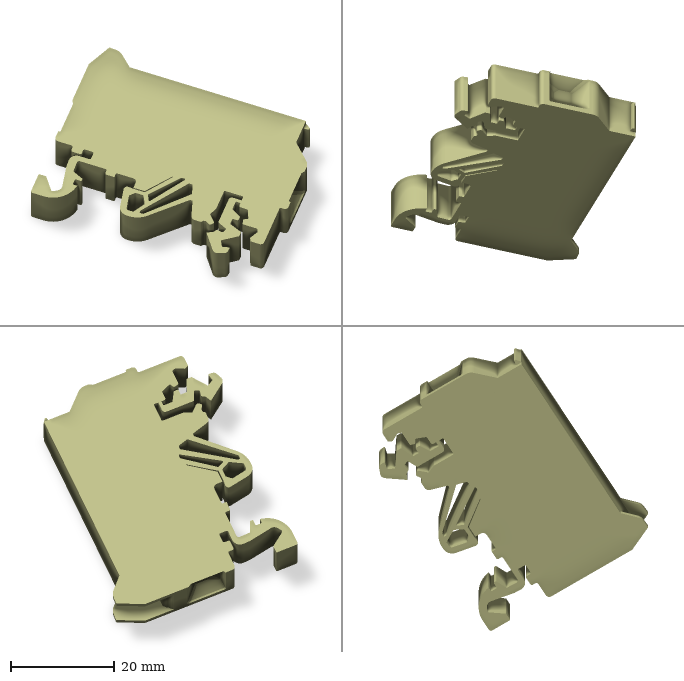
import cadquery as cq
import math


length = 48.0
thickness = 8.1
wall = 1.0
corner_round = 2.1
bend_round = 1.6
small_round = 0.2
margin = 0.5

top_edge = 35.35
fin_top = 38.35
left_underside = 14.05
right_underside = 14.35
rail_face = 11.15
arm_top = 12.25

notch_end = 8.2
fin_root = 7.7
right_shoulder = 44.05
leg_side = 46.5
post_side = 35.05
latch_slot_end = 39.0
clip_side = 18.3

clip_gap = 0.25
clip_top = 8.65
clip_gap_bend = 20.75
clip_gap_tip = (24.5, 14.0)

cavity_wall = 3.45
cavity_floor = 27.15
cavity_ledge = 28.9

funnel_depth = 2.45
funnel_entry_depth = 0.4
funnel_lip_depth = 1.8
funnel_lip_y = 16.6
funnel_mouth_y = (16.2, 24.4)
funnel_mouth_z = (wall, 8.15)
funnel_floor_y = (18.0, 21.6)
funnel_floor_z = (2.9, 6.05)


def trace(corners):
    """Closed wire through (x, y, radius) corners, each rounded by its radius."""
    path = None
    for i, (x, y, radius) in enumerate(corners):
        before = corners[i - 1]
        after = corners[(i + 1) % len(corners)]
        to_before = cq.Vector(before[0] - x, before[1] - y).normalized()
        to_after = cq.Vector(after[0] - x, after[1] - y).normalized()
        corner = cq.Vector(x, y)
        half_angle = to_before.getAngle(to_after) / 2
        setback = radius / math.tan(half_angle)
        start = corner + to_before * setback
        if path is None:
            path = cq.Workplane("XY").moveTo(start.x, start.y)
        else:
            path = path.lineTo(start.x, start.y)
        if radius > 0:
            bisector = (to_before + to_after).normalized()
            middle = corner + bisector * (radius / math.sin(half_angle) - radius)
            end = corner + to_after * setback
            path = path.threePointArc((middle.x, middle.y), (end.x, end.y))
    return path.close()


def prism(corners, z_from=0.0, z_to=thickness):
    return trace(corners).extrude(z_to - z_from).translate((0, 0, z_from))


def left_underside_key():
    key_left, key_right, key_tip, key_round = 3.95, 6.1, 12.7, 0.35
    return [
        (0, left_underside, 0.75),
        (key_left, left_underside, key_round),
        (key_left, key_tip, key_round),
        (key_right, key_tip, key_round),
        (key_right, left_underside, key_round),
        (notch_end, left_underside, 0.3),
        (notch_end, arm_top, 0.3),
    ]


def rail_hook():
    heel = 0.9
    nose = 5.5
    return [
        (4.2, arm_top, bend_round),
        (4.35, 9.15, 0),
        (5.4, 3.65, 1.15),
        (3.8, 2.5, 0.45),
        (1.55, nose, small_round),
        (0, nose, small_round),
        (0, heel, 0.5),
        (6.8, heel, 5.3),
        (7.95, nose, 0),
        (7.0, nose, small_round),
        (7.0, 6.8, small_round),
        (8.3, 6.8, small_round),
        (8.35, 7.4, small_round),
        (6.05, 8.45, 0),
        (5.95, rail_face, 0.5),
    ]


def rail_seat():
    key_left, key_right, key_tip, key_round, seat = 12.0, 13.95, 9.95, 0.3, 10.95
    return [
        (key_left, rail_face, key_round),
        (key_left, key_tip, key_round),
        (key_right, key_tip, 0),
        (key_right, seat, small_round),
        (clip_side, seat, 0.8),
        (clip_side, clip_top, 0),
    ]


def spring_clip():
    return [
        (16.45, 8.85, 0.65),
        (17.7, 2.25, 2.05),
        (21.8, 2.25, 4.8),
        (29.55, 10.0, small_round),
        (30.1, 10.0, small_round),
    ]


def centre_post():
    foot = 5.85
    return [
        (31.35, foot, 0.95),
        (33.35, foot, small_round),
        (33.75, 6.35, small_round),
        (34.25, 6.35, small_round),
        (35.2, 5.7, 0.45),
        (35.9, 6.6, 0.45),
        (34.35, 8.2, 0),
        (post_side, 9.8, 0),
        (post_side, right_underside, small_round),
    ]


def latch_foot():
    tip = -0.25
    return [
        (latch_slot_end, right_underside, small_round),
        (latch_slot_end, 13.4, 0),
        (36.55, 13.4, 0.65),
        (36.55, 6.95, 0),
        (38.55, 6.0, small_round),
        (38.15, 5.0, small_round),
        (36.9, 5.25, small_round),
        (36.45, 4.45, small_round),
        (35.25, 3.9, 0),
        (38.3, tip, 1.05),
        (40.6, 0.7, 0.75),
        (40.75, 2.15, small_round),
        (39.2, 1.8, small_round),
        (38.5, 3.1, 0),
        (41.45, 5.3, small_round),
        (41.45, 6.35, small_round),
        (38.85, 7.4, 0),
        (38.85, 8.7, 0),
        (40.05, 8.7, small_round),
        (40.05, 9.65, small_round),
        (38.0, 10.8, 0),
        (38.0, 12.7, 0),
        (latch_slot_end, 12.7, 0),
    ]


def right_leg():
    foot = 4.9
    return [
        (latch_slot_end, 11.75, 0.4),
        (40.85, 11.75, small_round),
        (41.7, 9.75, small_round),
        (40.8, 9.25, small_round),
        (41.1, 8.15, small_round),
        (44.15, 8.15, small_round),
        (44.45, 7.4, small_round),
        (43.6, 5.65, small_round),
        (43.95, foot, small_round),
        (leg_side, foot, 0.7),
        (leg_side, right_underside, small_round),
        (length, right_underside, 0.7),
    ]


def upper_edge():
    return [
        (length, 25.9, corner_round),
        (right_shoulder, 29.9, 0),
        (right_shoulder, top_edge, 0),
        (fin_root, top_edge, 0),
        (4.6, 38.2, corner_round),
        (2.35, fin_top, 0.3),
        (0, 33.25, 0),
    ]


outline = (
    left_underside_key()
    + rail_hook()
    + rail_seat()
    + spring_clip()
    + centre_post()
    + latch_foot()
    + right_leg()
    + upper_edge()
)


def clip_openings():
    eye = [
        (19.1, 7.85, small_round),
        (20.75, 7.85, small_round),
        (21.7, 6.05, small_round),
        (20.25, 3.55, small_round),
        (18.8, 3.55, 0.6),
        (18.15, 6.85, small_round),
    ]
    upper_slot = [
        (21.5, 8.35, small_round),
        (22.2, 6.8, small_round),
        (27.15, 14.35, small_round),
        (26.2, 14.35, small_round),
    ]
    lower_slot = [
        (21.45, 3.75, small_round),
        (22.2, 3.75, small_round),
        (29.4, 11.4, small_round),
        (28.8, 13.6, 0.4),
        (28.05, 13.6, 0.4),
        (21.45, 4.25, small_round),
    ]
    tip_x, tip_y = clip_gap_tip
    gap = [
        (clip_side - small_round, clip_top, 0),
        (clip_gap_bend, clip_top, 0),
        (tip_x, tip_y - clip_gap, 0),
        (tip_x, tip_y, 0),
        (clip_gap_bend - clip_gap / 2, clip_top + clip_gap, 0),
        (clip_side - small_round, clip_top + clip_gap, 0),
    ]
    return [prism(corners) for corners in (eye, upper_slot, lower_slot, gap)]


def marker_cavity():
    corners = [
        (-margin, cavity_floor, 0),
        (0, cavity_floor, 0),
        (0.25, 27.5, 0),
        (0.85, 28.1, 1.0),
        (0.95, 28.3, 0),
        (1.6, cavity_ledge, 0),
        (cavity_wall, cavity_ledge, 0),
        (cavity_wall, 32.45, 0.7),
        (4.8, top_edge, 0),
        (fin_root, top_edge, 0),
        (fin_root, fin_top + margin, 0),
        (-margin, fin_top + margin, 0),
    ]
    return prism(corners, wall, thickness - wall)


def bevelled_rectangle(y_span, z_span, low_bevel, high_bevel):
    y_low, y_high = y_span
    z_low, z_high = z_span
    return [
        (y_low + low_bevel, z_low),
        (y_high - high_bevel, z_low),
        (y_high, z_low + high_bevel),
        (y_high, z_high - high_bevel),
        (y_high - high_bevel, z_high),
        (y_low + low_bevel, z_high),
        (y_low, z_high - low_bevel),
        (y_low, z_low + low_bevel),
    ]


def between(start, end, fraction):
    return start + (end - start) * fraction


def wire_funnel():
    mouth_low_y, mouth_high_y = funnel_mouth_y
    floor_high_y = funnel_floor_y[1]
    entry_fraction = funnel_entry_depth / funnel_depth
    lip_fraction = funnel_lip_depth / funnel_depth
    entry_y = (
        between(mouth_low_y, funnel_lip_y, funnel_entry_depth / funnel_lip_depth),
        between(mouth_high_y, floor_high_y, entry_fraction),
    )
    lip_y = (funnel_lip_y, between(mouth_high_y, floor_high_y, lip_fraction))
    slope_fraction = (funnel_lip_depth - funnel_entry_depth) / (funnel_depth - funnel_entry_depth)
    lip_z = tuple(
        between(at_mouth, at_floor, slope_fraction)
        for at_mouth, at_floor in zip(funnel_mouth_z, funnel_floor_z)
    )

    high_bevel = 0.35
    slope_bevel = 0.55
    wall_bevel = 0.2
    floor_bevel = 0.9
    sections = [
        (0, bevelled_rectangle(funnel_mouth_y, funnel_mouth_z, wall_bevel, high_bevel)),
        (funnel_entry_depth, bevelled_rectangle(entry_y, funnel_mouth_z, wall_bevel, slope_bevel)),
        (funnel_lip_depth, bevelled_rectangle(lip_y, lip_z, wall_bevel, slope_bevel)),
        (funnel_depth, bevelled_rectangle(funnel_floor_y, funnel_floor_z, floor_bevel, high_bevel)),
    ]
    funnel = cq.Workplane("YZ")
    for (near, near_outline), (far, far_outline) in zip(sections, sections[1:]):
        stage = (
            cq.Workplane("YZ", origin=(near, 0, 0)).polyline(near_outline).close()
            .workplane(offset=far - near).polyline(far_outline).close()
            .loft(ruled=True)
        )
        funnel = funnel.union(stage)
    return funnel


def shoulder_catch():
    catch_tip = 45.1
    catch_bottom = 34.2
    corners = [
        (right_shoulder - margin, top_edge, 0),
        (right_shoulder + 0.15, top_edge, 0),
        (catch_tip, 34.65, 0),
        (catch_tip, 34.3, 0),
        (right_shoulder + 0.5, catch_bottom, 0),
        (right_shoulder - margin, catch_bottom, 0),
    ]
    return prism(corners, wall, thickness - wall)


result = prism(outline)
for opening in clip_openings():
    result = result.cut(opening)
left_funnel = wire_funnel()
right_funnel = left_funnel.mirror("YZ").translate((length, 0, 0))
result = result.cut(marker_cavity()).cut(left_funnel).cut(right_funnel)
result = result.union(shoulder_catch())